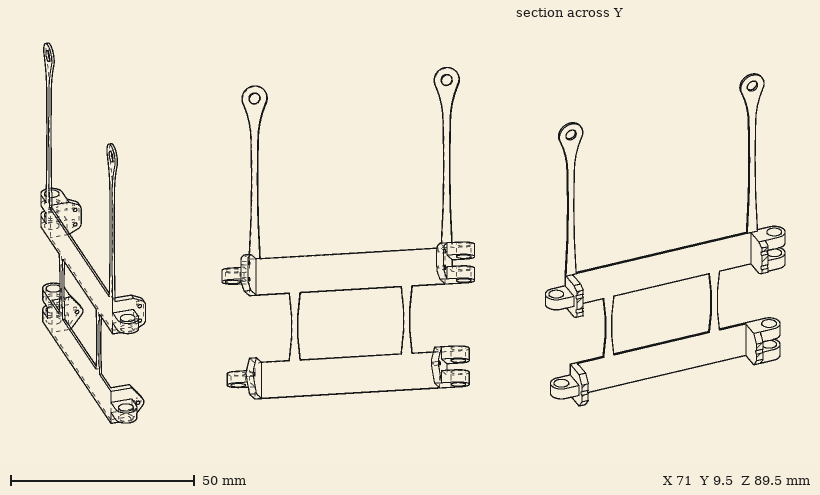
import cadquery as cq
import math

total_height = 89.5
total_depth = 9.5
total_length = 71.0

plate_height = 10.1
plate_thickness = 0.6
lower_half_length = 27.0
upper_half_length = 28.55
upper_bottom = 29.0
upper_top = upper_bottom + plate_height

barrel_diameter = 6.0
barrel_radius = barrel_diameter / 2
pin_diameter = 4.0
knuckle_reach = total_length / 2 - upper_half_length
tongue_height = 3.2
fork_height = (plate_height - tongue_height) / 2

flange_thickness = 2.0
flange_tip_radius = 1.7
flange_hole_diameter = 1.0
flange_hole_depth = total_depth - flange_tip_radius
upper_hole_spacing = 4.6

strut_thickness = plate_thickness
arm_thickness = 0.7
strip_end_half_width = 1.5
strip_waist_half_width = 0.8
strut_offset = 15.75

eye_radius = 3.5
eye_hole_diameter = 3.0
arm_offset = upper_half_length - strip_end_half_width
left_eye_height = total_height - eye_radius
right_eye_height = left_eye_height - 2.0
neck_length = 11.8
neck_middle_drop = 4.7
neck_middle_half_width = 2.0
eye_tangent_drop = 1.7


def box(x_min, x_max, depth, z_min, z_max):
    """Box with its front face at Y = 0."""
    size = (x_max - x_min, depth, z_max - z_min)
    return cq.Workplane("XY").box(*size, centered=False).translate((x_min, 0, z_min))


def extrude_back(outline, thickness):
    """Extrude an XZ outline from Y = 0 toward +Y."""
    return outline.extrude(-thickness)


def tip_tangent(z_hole, z_corner):
    """Point where a line from the flange corner touches the round tip, as (Y, Z)."""
    dy = barrel_diameter - flange_hole_depth
    dz = z_corner - z_hole
    turn = math.acos(flange_tip_radius / math.hypot(dy, dz))
    side = math.copysign(1, dz)
    angle = math.atan2(dz, dy) - side * turn
    y = flange_hole_depth + flange_tip_radius * math.cos(angle)
    z = z_hole + flange_tip_radius * math.sin(angle)
    return y, z


def flange(x_min, hole_spacing):
    """Tapered end flange whose round tips are concentric with its small holes."""
    middle = plate_height / 2
    z_low = middle - hole_spacing / 2
    z_high = middle + hole_spacing / 2
    low_tangent = tip_tangent(z_low, 0)
    high_tangent = tip_tangent(z_high, plate_height)
    tip_angle = math.atan2(high_tangent[1] - z_high, high_tangent[0] - flange_hole_depth) / 2
    arc_y = flange_hole_depth + flange_tip_radius * math.cos(tip_angle)
    arc_rise = flange_tip_radius * math.sin(tip_angle)

    outline = cq.Workplane("YZ").moveTo(0, 0).lineTo(barrel_diameter, 0).lineTo(*low_tangent)
    if hole_spacing > 0:
        outline = (
            outline.threePointArc((arc_y, z_low - arc_rise), (total_depth, z_low))
            .lineTo(total_depth, z_high)
            .threePointArc((arc_y, z_high + arc_rise), high_tangent)
        )
    else:
        outline = outline.threePointArc((total_depth, middle), high_tangent)
    body = outline.lineTo(barrel_diameter, plate_height).lineTo(0, plate_height).close()
    body = body.extrude(flange_thickness)
    for z in sorted({z_low, z_high}):
        hole = cq.Workplane("YZ").center(flange_hole_depth, z)
        body = body.cut(hole.circle(flange_hole_diameter / 2).extrude(flange_thickness))
    return body.translate((x_min, 0, 0))


def knuckle(half_length, side, z_min, height):
    """Round-ended hinge knuckle outside a flange; side is -1 or 1 along X."""
    pin_x = side * (half_length + knuckle_reach - barrel_radius)
    root_x = side * half_length
    body = box(min(pin_x, root_x), max(pin_x, root_x), barrel_diameter, z_min, z_min + height)
    barrel = cq.Workplane("XY", origin=(pin_x, barrel_radius, z_min))
    body = body.union(barrel.circle(barrel_radius).extrude(height))
    return body.cut(barrel.circle(pin_diameter / 2).extrude(height))


def hinged_plate(half_length, hole_spacing):
    """Plate with end flanges, a forked knuckle at -X and a tongue at +X."""
    body = box(-half_length, half_length, plate_thickness, 0, plate_height)
    for x_min in (-half_length, half_length - flange_thickness):
        body = body.union(flange(x_min, hole_spacing))
    for z_min in (0, plate_height - fork_height):
        body = body.union(knuckle(half_length, -1, z_min, fork_height))
    return body.union(knuckle(half_length, 1, fork_height, tongue_height))


def strut(x):
    """Waisted strip joining the two plates."""
    middle = (plate_height + upper_bottom) / 2
    outline = (
        cq.Workplane("XZ")
        .moveTo(x - strip_end_half_width, plate_height)
        .lineTo(x + strip_end_half_width, plate_height)
        .threePointArc((x + strip_waist_half_width, middle), (x + strip_end_half_width, upper_bottom))
        .lineTo(x - strip_end_half_width, upper_bottom)
        .threePointArc((x - strip_waist_half_width, middle), (x - strip_end_half_width, plate_height))
        .close()
    )
    return extrude_back(outline, strut_thickness)


def arm(x, eye_z):
    """Waisted arm rising from the upper plate and flaring into a round eye."""
    half_span = (eye_z - upper_top) / 2
    waist_z = upper_top + half_span
    neck_z = eye_z - neck_length
    widening = strip_end_half_width - strip_waist_half_width
    neck_half_width = strip_waist_half_width + widening * ((neck_z - waist_z) / half_span) ** 2
    tangent_half_width = math.sqrt(eye_radius**2 - eye_tangent_drop**2)
    tangent_z = eye_z - eye_tangent_drop
    middle_z = eye_z - neck_middle_drop
    outline = (
        cq.Workplane("XZ")
        .moveTo(x - strip_end_half_width, upper_top)
        .lineTo(x + strip_end_half_width, upper_top)
        .threePointArc((x + strip_waist_half_width, waist_z), (x + neck_half_width, neck_z))
        .threePointArc((x + neck_middle_half_width, middle_z), (x + tangent_half_width, tangent_z))
        .threePointArc((x, eye_z + eye_radius), (x - tangent_half_width, tangent_z))
        .threePointArc((x - neck_middle_half_width, middle_z), (x - neck_half_width, neck_z))
        .threePointArc((x - strip_waist_half_width, waist_z), (x - strip_end_half_width, upper_top))
        .close()
    )
    hole = cq.Workplane("XZ").center(x, eye_z).circle(eye_hole_diameter / 2)
    return extrude_back(outline, arm_thickness).cut(extrude_back(hole, arm_thickness))


result = hinged_plate(lower_half_length, 0)
upper_plate = hinged_plate(upper_half_length, upper_hole_spacing)
result = result.union(upper_plate.translate((0, 0, upper_bottom)))
for strut_x in (-strut_offset, strut_offset):
    result = result.union(strut(strut_x))
result = result.union(arm(-arm_offset, left_eye_height))
result = result.union(arm(arm_offset, right_eye_height))